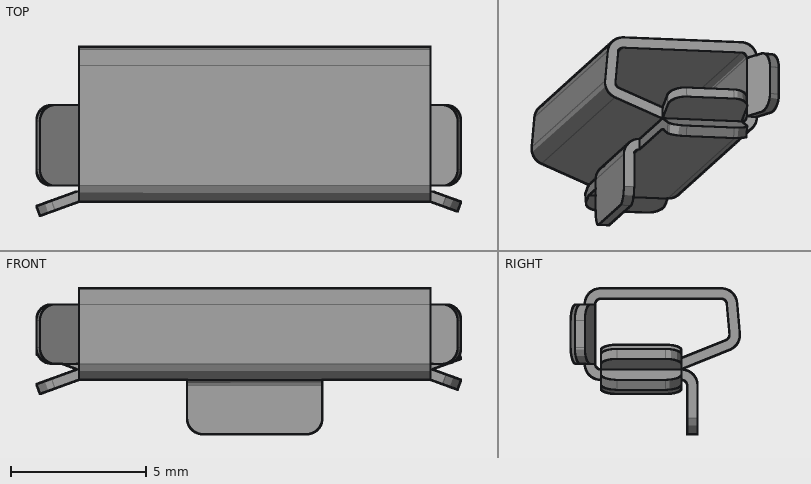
import cadquery as cq
import math

sheet = 0.4
outer_bend = 0.6
inner_bend = outer_bend - sheet
corner_radius = 0.6

body_length = 12.99
top_z = 5.4
floor_z = 2.01
floor_top_z = floor_z + sheet
lap_y = 3.58
split_y = 2.35
back_top_y = 5.59
back_bottom_y = 5.77
slope_angle = 22.0
back_bottom_z = floor_top_z + (back_bottom_y - lap_y) * math.tan(math.radians(slope_angle))

leg_width = 5.0
tab_angle = 20.0
left_reach = 1.57
right_reach = 15.69 - body_length - left_reach
flat_start = outer_bend
tab_root = sheet * math.tan(math.radians(tab_angle / 2))


def inner_face(outer):
    """Points of an outer bend line moved one sheet thickness to its right, with mitred corners."""
    normals = []
    for (y0, z0), (y1, z1) in zip(outer, outer[1:]):
        length = math.hypot(y1 - y0, z1 - z0)
        normals.append(((z1 - z0) / length, (y0 - y1) / length))
    before = [normals[0]] + normals
    after = normals + [normals[-1]]
    points = []
    for (y, z), (ay, az), (by, bz) in zip(outer, before, after):
        miter = sheet / (1 + ay * by + az * bz)
        points.append((y + (ay + by) * miter, z + (az + bz) * miter))
    return points


def bent_sheet(outer, width, rounded):
    """Sheet centred on X = 0, following the outer bend line, with the listed bends rounded."""
    inner = inner_face(outer)
    strip = cq.Workplane("YZ").polyline(outer + inner[::-1]).close().extrude(width / 2, both=True)
    for index in rounded:
        for points, radius in ((outer, outer_bend), (inner, inner_bend)):
            y, z = points[index]
            strip = strip.edges(cq.selectors.NearestToPointSelector((0, y, z))).fillet(radius)
    return strip


def flat_tab(reach, width):
    """Rounded tab pointing to +X from the YZ plane, one sheet thick upward from Z = 0."""
    length = (reach - tab_root) / math.cos(math.radians(tab_angle))
    tab = cq.Workplane("XY").box(length, width, sheet, centered=(False, True, False))
    return tab.edges("|Z and >X").fillet(corner_radius)


def raised_tab(reach, width):
    """Short flat root followed by a tab tilted upward about the lower edge of the root."""
    root = cq.Workplane("XY").box(tab_root, width, sheet, centered=(False, True, False))
    tilted = flat_tab(reach, width).rotate((0, 0, 0), (0, 1, 0), -tab_angle)
    return root.union(tilted.translate((tab_root, 0, 0)))


def end_tabs(reach):
    """Three flared tabs of the +X end: lap and floor tabs form a V, the wall tab flares to -Y."""
    lap_width = lap_y - flat_start
    lap_mid = (lap_y + flat_start) / 2
    wall_width = top_z - floor_z - 2 * flat_start
    wall_mid = (top_z + floor_z) / 2
    end_x = body_length / 2
    tab = raised_tab(reach, lap_width)
    lap_tab = tab.translate((end_x, lap_mid, floor_top_z))
    floor_tab = tab.mirror("XY").translate((end_x, lap_mid, floor_top_z))
    wall_tab = raised_tab(reach, wall_width).rotate((0, 0, 0), (1, 0, 0), 90)
    wall_tab = wall_tab.translate((end_x, sheet, wall_mid))
    return [lap_tab, floor_tab, wall_tab]


front = bent_sheet(
    [(lap_y, floor_z), (0, floor_z), (0, top_z), (split_y, top_z)], body_length, (1, 2)
)

back = bent_sheet(
    [
        (split_y, top_z),
        (back_top_y, top_z),
        (back_bottom_y, back_bottom_z),
        (lap_y, floor_top_z),
        (flat_start, floor_top_z),
    ],
    body_length,
    (1, 2),
)

leg_y = lap_y + outer_bend
leg = bent_sheet([(split_y, floor_top_z), (leg_y, floor_top_z), (leg_y, 0)], leg_width, (1,))
leg = leg.edges("|Y and <Z").fillet(corner_radius)

result = front.union(back).union(leg)
for tab in end_tabs(right_reach):
    result = result.union(tab)
for tab in end_tabs(left_reach):
    result = result.union(tab.mirror("YZ"))